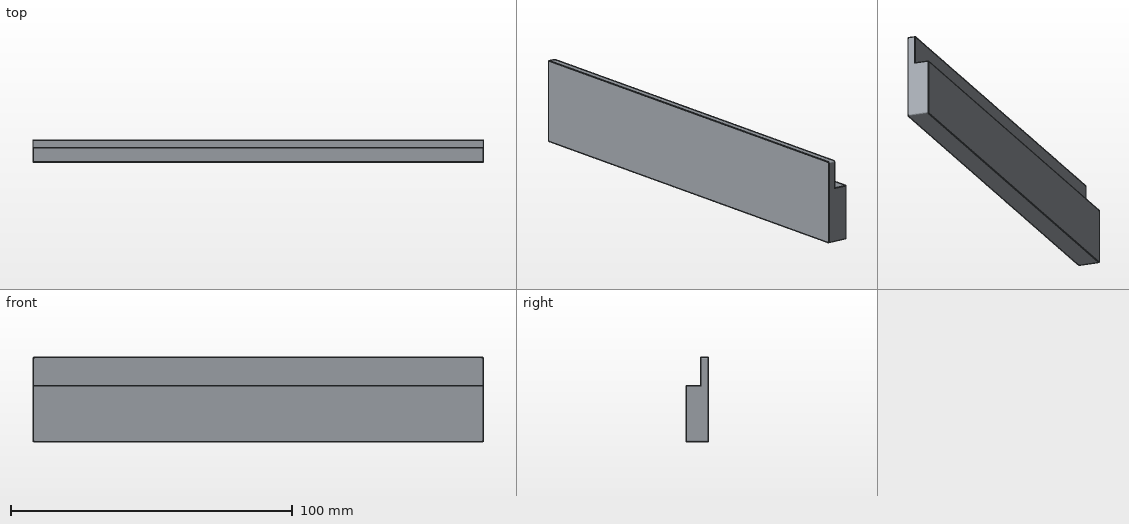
import cadquery as cq

length = 160.0
base_depth = 8.0
total_height = 30.0
base_height = 20.0
lip_thickness = 2.9
corner_radius = 0.6
edge_break = 0.2

plate = (
    cq.Workplane("XY")
    .box(length, base_depth, total_height, centered=(True, False, False))
    .edges("|Y")
    .fillet(corner_radius)
)

step_depth = base_depth - lip_thickness
step = (
    cq.Workplane("XY")
    .box(length, step_depth, total_height - base_height, centered=(True, False, False))
    .translate((0, 0, base_height))
)
bar = plate.cut(step)

inside_corner = cq.selectors.NearestToPointSelector((0, step_depth, base_height))
shoulder_ends = cq.selectors.BoxSelector(
    (-length, 0, base_height - edge_break),
    (length, step_depth, base_height + edge_break),
)
across_edges = cq.selectors.StringSyntaxSelector("|Y")
lengthwise_and_upright_edges = cq.selectors.StringSyntaxSelector("not |Y")
broken_edges = (lengthwise_and_upright_edges - inside_corner) + (across_edges & shoulder_ends)
result = bar.edges(broken_edges).chamfer(edge_break)